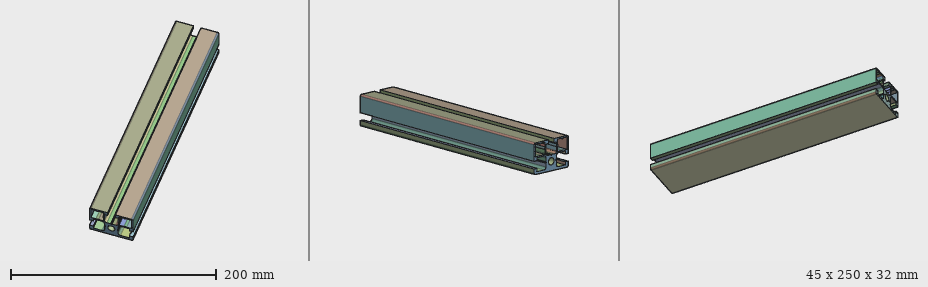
import cadquery as cq

width = 45.0
length = 250.0
height = 32.0
outer_radius = 1.8

slot_opening = 7.8
slot_inner_width = 14.0
lip_thickness = 4.0
core_half_width = 7.0
side_slot_z = 9.8
top_slot_floor_z = 16.5
slot_corner = 2.5
groove_half_width = 0.8
groove_depth = 0.8
mouth_overshoot = 2.5

bore_diameter = 7.2

chamber_wall = 1.5
chamber_inner_x = 8.0
chamber_floor_z = 18.0
chamber_radius = 1.2
rib_width = 2.8
top_rib_height = 0.8
floor_rib_height = 0.2


def prism(sketch):
    """Extrude a closed XZ outline along the whole length, centred on Y."""
    return sketch.extrude(length / 2, both=True)


def xz_rectangle(x_min, x_max, z_min, z_max):
    outline = cq.Workplane("XZ").center((x_min + x_max) / 2, (z_min + z_max) / 2)
    return prism(outline.rect(x_max - x_min, z_max - z_min))


def t_slot(depth):
    """T-slot opening along +Z, with its mouth at Z = 0 and a grooved floor."""
    half_opening = slot_opening / 2
    half_inner = slot_inner_width / 2
    outline = (
        cq.Workplane("XZ")
        .moveTo(-half_opening, mouth_overshoot)
        .lineTo(-half_opening, -lip_thickness)
        .lineTo(-half_inner, -lip_thickness)
        .lineTo(-half_inner, slot_corner - depth)
        .radiusArc((slot_corner - half_inner, -depth), -slot_corner)
        .lineTo(-groove_half_width, -depth)
        .lineTo(0, -depth - groove_depth)
        .lineTo(groove_half_width, -depth)
        .lineTo(half_inner - slot_corner, -depth)
        .radiusArc((half_inner, slot_corner - depth), -slot_corner)
        .lineTo(half_inner, -lip_thickness)
        .lineTo(half_opening, -lip_thickness)
        .lineTo(half_opening, mouth_overshoot)
        .close()
    )
    return prism(outline)


def arched_rib(start, middle, end):
    """Low rib on a chamber wall, bounded by an arc and its chord."""
    return prism(cq.Workplane("XZ").moveTo(*start).threePointArc(middle, end).close())


def left_chamber():
    """Hollow upper-left chamber with ribs on its roof, inner wall and floor."""
    x_min = chamber_wall - width / 2
    x_max = -chamber_inner_x
    z_min = chamber_floor_z
    z_max = height - chamber_wall
    x_mid = (x_min + x_max) / 2
    z_mid = (z_min + z_max) / 2
    half_rib = rib_width / 2

    chamber = xz_rectangle(x_min, x_max, z_min, z_max)
    chamber = chamber.edges("|Y").edges(">X and >Z").fillet(chamber_radius)
    roof_rib = arched_rib(
        (x_mid - half_rib, z_max), (x_mid, z_max - top_rib_height), (x_mid + half_rib, z_max)
    )
    wall_rib = arched_rib(
        (x_max, z_mid - half_rib), (x_max - top_rib_height, z_mid), (x_max, z_mid + half_rib)
    )
    floor_rib = arched_rib(
        (x_mid - half_rib, z_min), (x_mid, z_min + floor_rib_height), (x_mid + half_rib, z_min)
    )
    return chamber.cut(roof_rib).cut(wall_rib).cut(floor_rib)


bar = xz_rectangle(-width / 2, width / 2, 0, height).edges("|Y").fillet(outer_radius)

bar = bar.cut(t_slot(height - top_slot_floor_z).translate((0, 0, height)))

for side in (-1, 1):
    slot = t_slot(width / 2 - core_half_width).rotate((0, 0, 0), (0, 1, 0), side * 90)
    bar = bar.cut(slot.translate((side * width / 2, 0, side_slot_z)))

chamber = left_chamber()
bar = bar.cut(chamber).cut(chamber.mirror("YZ"))

bore = prism(cq.Workplane("XZ").center(0, side_slot_z).circle(bore_diameter / 2))
result = bar.cut(bore)